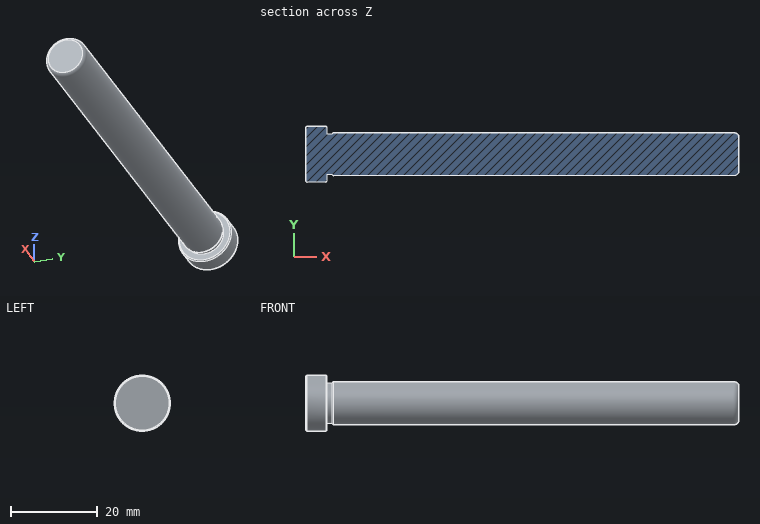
import cadquery as cq

total_length = 100.0
head_diameter = 13.0
head_length = 5.0
head_chamfer = 0.3

shank_diameter = 10.0
tip_rounding_length = 1.2
tip_rounding_depth = 0.8

neck_diameter = 9.4
neck_end = 6.4

head_radius = head_diameter / 2
shank_radius = shank_diameter / 2
neck_radius = neck_diameter / 2
neck_runout = shank_radius - neck_radius


def make_head():
    head = cq.Workplane("YZ").circle(head_radius).extrude(head_length)
    return head.edges("%CIRCLE").chamfer(head_chamfer)


def make_shank():
    """Neck, tapered run-out, cylinder and rounded tip, revolved about X."""
    return (
        cq.Workplane("XY")
        .moveTo(head_length / 2, 0)
        .lineTo(head_length / 2, neck_radius)
        .lineTo(neck_end - neck_runout, neck_radius)
        .lineTo(neck_end, shank_radius)
        .lineTo(total_length - tip_rounding_length, shank_radius)
        .tangentArcPoint((total_length, shank_radius - tip_rounding_depth), relative=False)
        .lineTo(total_length, 0)
        .close()
        .revolve(360, (0, 0, 0), (1, 0, 0))
    )


result = make_head().union(make_shank())